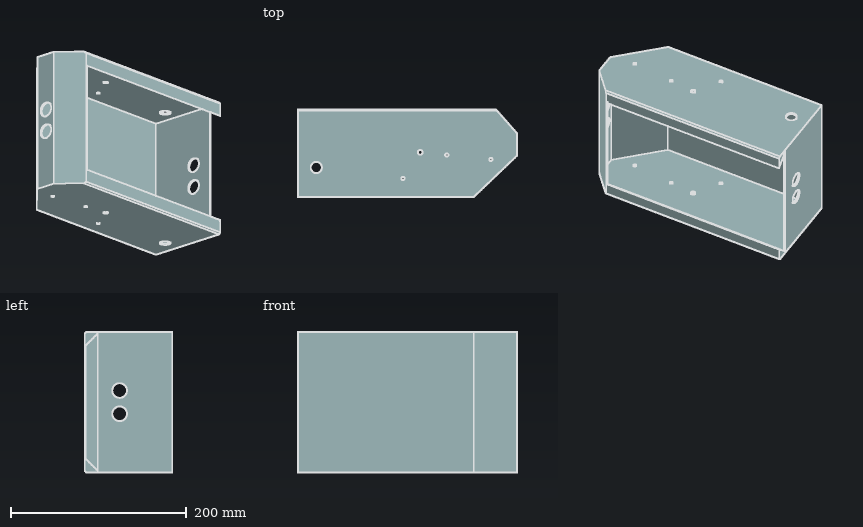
import cadquery as cq
import math

length = 249.5
depth = 100.0
height = 160.0
wall = 2.0

front_taper_start = 200.0
back_taper_start = 225.2
end_face_front = 47.1
end_face_back = 72.5
back_taper_angle = math.atan2(depth - end_face_back, length - back_taper_start)

lip_size = 15.0
back_chamfer = 2.0

end_strip = 1.2

plate_holes = [
    (21.0, 33.7, 12.5),
    (139.2, 51.0, 5.2),
    (169.3, 48.0, 3.5),
    (219.5, 43.0, 3.5),
    (119.5, 21.2, 3.5),
]

end_hole_diameter = 16.5
end_hole_y = 60.0
end_hole_spacing = 26.5


def taper_x(y):
    """X position of the outer face of the back taper at a given Y."""
    return back_taper_start + (depth - y) / math.tan(back_taper_angle)


def plan(back):
    """Plan outline, tapered on both sides at +X and ending at the given back edge."""
    return (
        cq.Workplane("XY")
        .moveTo(0, 0)
        .lineTo(front_taper_start, 0)
        .lineTo(length, end_face_front)
        .lineTo(length, end_face_back)
        .lineTo(taper_x(back), back)
        .lineTo(0, back)
        .close()
    )


def lip_profile(front):
    """YZ section of the inside from the given front face to the back, narrowed by the lips."""
    slope_start = depth - lip_size
    tip = wall + lip_size
    profile = cq.Workplane("YZ").moveTo(slope_start, wall)
    profile = profile.lineTo(depth, tip).lineTo(depth, height - tip).lineTo(slope_start, height - wall)
    if front < slope_start:
        profile = profile.lineTo(front, height - wall).lineTo(front, wall)
    return profile.close()


def outer_block():
    """Solid outer shape with its two long back edges chamfered."""
    return plan(depth).extrude(height).faces(">Y").edges("|X").chamfer(back_chamfer)


def cavity():
    """Space inside the walls, leaving the two lips and the end strip standing."""
    inside = plan(depth - end_strip + wall).offset2D(-wall).extrude(height)
    return inside.intersect(lip_profile(0).extrude(length))


def back_opening():
    """Opening between the lips, through the back and the rear edge of the -X wall."""
    opening_end = taper_x(depth - end_strip) - wall / math.sin(back_taper_angle)
    return lip_profile(depth - lip_size).extrude(opening_end)


def plate_hole_cutters():
    """Vertical cylinders for the holes in the top and bottom plates."""
    cutters = cq.Workplane("XY")
    for x, y, diameter in plate_holes:
        cutters = cutters.add(cq.Workplane("XY").center(x, y).circle(diameter / 2).extrude(height))
    return cutters.combine()


def end_hole_cutters():
    """Lengthwise cylinders for the pair of holes, centred on the height."""
    return (
        cq.Workplane("YZ", origin=(0, end_hole_y, height / 2))
        .rarray(2.5, end_hole_spacing, 1, 2)
        .circle(end_hole_diameter / 2)
        .extrude(length)
    )


result = (
    outer_block()
    .cut(cavity())
    .cut(back_opening())
    .cut(plate_hole_cutters())
    .cut(end_hole_cutters())
)